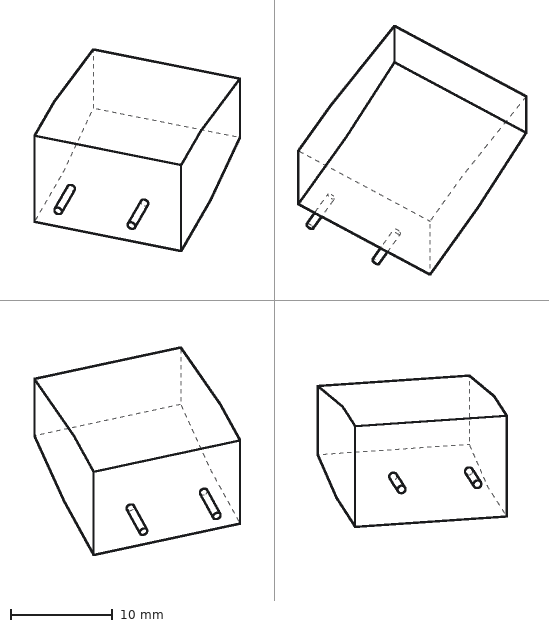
import cadquery as cq

total_length = 22.0
housing_width = 15.25
housing_height = 10.5

pin_length = 4.0
housing_length = total_length - pin_length
top_flat_length = 6.0
bottom_flat_length = 9.0
top_taper_drop = 1.9
bottom_taper_rise = 1.43

pin_diameter = 0.8
pin_spacing = housing_width / 2
pin_height = 5.0


def make_housing():
    """Extrude the tapered side profile along X, centred on X = 0."""
    profile = [
        (0, 0),
        (bottom_flat_length, 0),
        (housing_length, bottom_taper_rise),
        (housing_length, housing_height - top_taper_drop),
        (top_flat_length, housing_height),
        (0, housing_height),
    ]
    return cq.Workplane("YZ").polyline(profile).close().extrude(housing_width / 2, both=True)


def make_pin(x):
    """Round pin standing on the housing face at Y = 0 and pointing towards -Y."""
    return cq.Workplane("XZ").center(x, pin_height).circle(pin_diameter / 2).extrude(pin_length)


housing = make_housing()
pins = [make_pin(side * pin_spacing / 2) for side in (-1, 1)]

result = cq.Compound.makeCompound([housing.val(), *[pin.val() for pin in pins]])